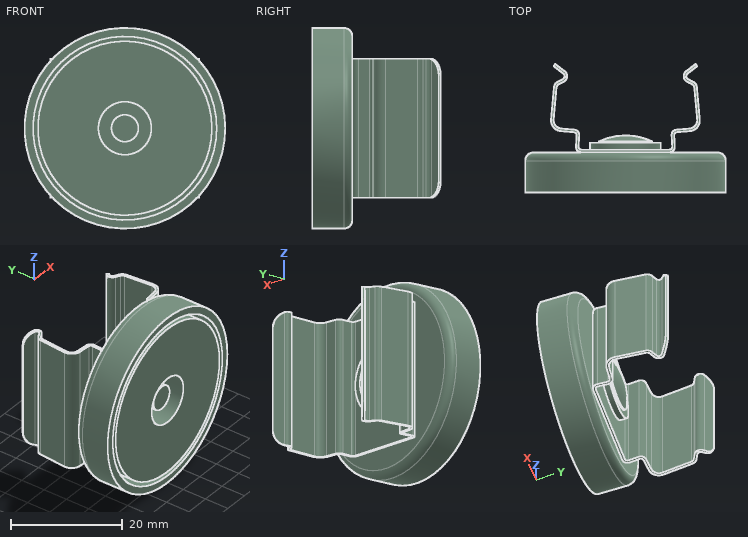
import cadquery as cq
import math


cup_radius = 18.05
cup_depth = 7.2
cup_bore_radius = 16.5
cup_corner_radius = 1.5
cup_floor = cup_radius - cup_bore_radius
cup_floor_y = cup_depth - cup_floor

magnet_radius = 15.62
magnet_hole_radius = 4.75

shank_radius = 2.4
shank_end_y = 1.35
flange_radius = 6.4
flange_thickness = 1.23
dome_radius = 4.85
dome_rim = 0.2
dome_height = 1.12

total_depth = 23.1

sheet = 0.5
clip_width = 25.0
tip_corner_radius = 3.0
base_mid_y = cup_depth + sheet / 2
clip_top_y = cup_depth + sheet

arm_bends = [
    ((-8.7, base_mid_y), 0.75),
    ((-8.48, 11.0), 0.75),
    ((-13.27, 11.4), 1.73),
    ((-12.55, 19.4), 1.0),
    ((-9.95, 20.75), 0.85),
]
lip_angle = 37.5


def disc(radius, start_y, end_y):
    """Plain disc around the Y axis."""
    return cq.Workplane("XZ", origin=(0, start_y, 0)).circle(radius).extrude(start_y - end_y)


def make_cup():
    """Round cup with a rounded back edge, a bore for the magnet and a rivet hole."""
    cup = disc(cup_radius, 0, cup_depth).faces(">Y").edges().fillet(cup_corner_radius)
    cup = cup.cut(disc(cup_bore_radius, 0, cup_floor_y))
    return cup.cut(disc(shank_radius, cup_floor_y, cup_depth))


def make_magnet():
    """Ring seated on the cup floor, flush with the rim and clear of the bore wall."""
    return disc(magnet_radius, 0, cup_floor_y).cut(disc(magnet_hole_radius, 0, cup_floor_y))


def make_rivet():
    """Shank, wide flange on the clip and a domed head, as one turned profile."""
    flange_top_y = clip_top_y + flange_thickness
    dome_base_y = flange_top_y + dome_rim
    apex_y = dome_base_y + dome_height
    sphere_radius = (dome_radius**2 + dome_height**2) / (2 * dome_height)
    half_angle = math.asin(dome_radius / sphere_radius) / 2
    dome_middle = (
        sphere_radius * math.sin(half_angle),
        apex_y - sphere_radius * (1 - math.cos(half_angle)),
    )
    return (
        cq.Workplane("XY")
        .moveTo(0, shank_end_y)
        .lineTo(shank_radius, shank_end_y)
        .lineTo(shank_radius, clip_top_y)
        .lineTo(flange_radius, clip_top_y)
        .lineTo(flange_radius, flange_top_y)
        .lineTo(dome_radius, flange_top_y)
        .lineTo(dome_radius, dome_base_y)
        .threePointArc(dome_middle, (0, apex_y))
        .close()
        .revolve(360, (0, 0, 0), (0, 1, 0))
    )


def lip_end():
    """Middle of the left lip's end edge; its upper corner reaches the total depth."""
    angle = math.radians(lip_angle)
    bend_x, bend_y = arm_bends[-1][0]
    end_y = total_depth - sheet / 2 * math.cos(angle)
    return bend_x - (end_y - bend_y) / math.tan(angle), end_y


def bend_arc(before, corner, after, radius):
    """Start, middle and end of the arc that rounds a corner of the middle line."""
    corner = cq.Vector(*corner)
    back = (cq.Vector(*before) - corner).normalized()
    ahead = (cq.Vector(*after) - corner).normalized()
    half_opening = back.getAngle(ahead) / 2
    tangent_length = radius / math.tan(half_opening)
    middle_distance = radius / math.sin(half_opening) - radius
    return (
        corner + back * tangent_length,
        corner + (back + ahead).normalized() * middle_distance,
        corner + ahead * tangent_length,
    )


def middle_line():
    """Middle line of the whole strip, from the left lip to the right lip."""
    left_points = [lip_end()] + [point for point, _ in reversed(arm_bends)]
    left_radii = [radius for _, radius in reversed(arm_bends)]
    points = left_points + [(-x, y) for x, y in reversed(left_points)]
    radii = left_radii + left_radii[::-1]

    path = cq.Workplane("XY").moveTo(*points[0])
    for before, corner, after, radius in zip(points, points[1:], points[2:], radii):
        start, middle, end = bend_arc(before, corner, after, radius)
        path = path.lineTo(start.x, start.y).threePointArc((middle.x, middle.y), (end.x, end.y))
    return path.lineTo(*points[-1])


def lip_corner_cutter(side, end):
    """Waste outside the rounded corner of one lip; side picks -X/+X, end picks -Z/+Z."""
    angle = math.radians(lip_angle)
    lip_x, lip_y = lip_end()
    lip_plane = cq.Plane(
        origin=(-side * lip_x, lip_y, end * clip_width / 2),
        xDir=(-side * math.cos(angle), -math.sin(angle), 0),
        normal=(-side * math.sin(angle), math.cos(angle), 0),
    )
    inward = -end * lip_plane.yDir.z
    radius = tip_corner_radius
    arc_inset = radius * (1 - math.sqrt(0.5))
    return (
        cq.Workplane(lip_plane)
        .moveTo(0, inward * radius)
        .threePointArc((arc_inset, inward * arc_inset), (radius, 0))
        .lineTo(0, 0)
        .close()
        .extrude(sheet, both=True)
    )


def make_clip():
    """Bent strip with rounded lip corners and a rivet hole through its base."""
    start_x, start_y = lip_end()
    angle = math.radians(lip_angle)
    start_plane = cq.Plane(
        origin=(start_x, start_y, 0),
        xDir=(0, 0, 1),
        normal=(math.cos(angle), -math.sin(angle), 0),
    )
    clip = cq.Workplane(start_plane).rect(clip_width, sheet).sweep(middle_line())
    for side in (-1, 1):
        for end in (-1, 1):
            clip = clip.cut(lip_corner_cutter(side, end))
    return clip.cut(disc(shank_radius, cup_depth, clip_top_y))


cup = make_cup()
magnet = make_magnet()
clip = make_clip()
rivet = make_rivet()

result = cq.Compound.makeCompound([
    *cup.solids().vals(),
    *magnet.solids().vals(),
    *clip.solids().vals(),
    rivet.val(),
])